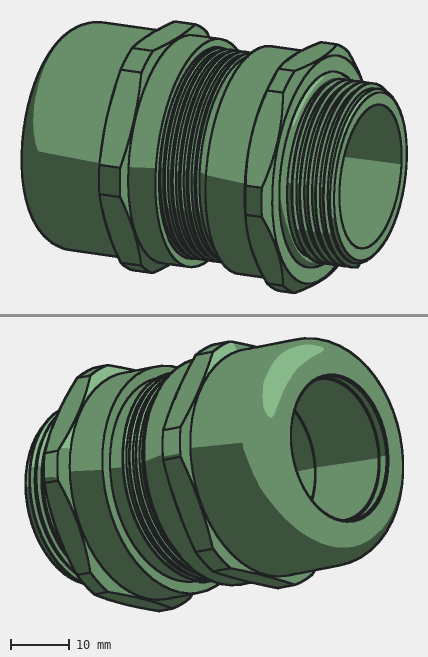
import cadquery as cq
import math

OVERALL_LENGTH = 59.0

CAP_DIAMETER = 39.7
CAP_LENGTH = 27.4
DOME_RADIUS = 4.95
MOUTH_DIAMETER = 25.2
MOUTH_CHAMFER = 0.25
LIP_THICKNESS = 1.75
CAP_BORE_CLEARANCE = 0.25

HEX_SIDES = 6
ACROSS_FLATS = 40.1
ACROSS_CORNERS = 43.6
HEX_WIDTH = 5.3
CAP_HEX_START = 16.9
CAP_HEX_CHAMFER_ANGLE = 19.0
BODY_HEX_CHAMFER_ANGLE = 30.0

SEAL_BORE = 24.65
SEAL_DIAMETER = 31.5
SEAL_END = 16.3

BODY_BORE = 25.0
NECK_DIAMETER = 35.7
FLANGE_START = 36.95
FLANGE_DIAMETER = CAP_DIAMETER
BODY_HEX_START = 44.35
BODY_HEX_END = BODY_HEX_START + HEX_WIDTH
SPIGOT_DIAMETER = 30.3
SPIGOT_CHAMFER = 0.55

FIVE_TURN_ADVANCE = 7.5
PITCH = FIVE_TURN_ADVANCE / 5
RIDGE_BASE_WIDTH = 0.9
RIDGE_CREST_WIDTH = 0.1
RIDGE_SINK = 0.2
NECK_THREAD_DIAMETER = 36.6
NECK_THREAD_START = 26.15
NECK_THREAD_TURNS = 5.72
SPIGOT_THREAD_DIAMETER = 32.0
SPIGOT_THREAD_START = 50.85
SPIGOT_THREAD_TURNS = 4.72

RING_SECTION_DIAMETER = 1.9
RING_CENTRE_RADIUS = (SPIGOT_DIAMETER + RING_SECTION_DIAMETER) / 2


def cylinder(diameter, start, end):
    """Solid cylinder on the X axis between two positions."""
    return cq.Workplane("YZ", origin=(start, 0, 0)).circle(diameter / 2).extrude(end - start)


def hexagon(start, chamfer_angle, inner_diameter):
    """Hexagon with flats facing up and down, its corners turned round and coned on both sides."""
    end = start + HEX_WIDTH
    inner_radius = inner_diameter / 2
    corner_radius = ACROSS_CORNERS / 2
    cone_depth = (corner_radius - inner_radius) * math.tan(math.radians(chamfer_angle))
    prism = (
        cq.Workplane("YZ", origin=(start, 0, 0))
        .polygon(HEX_SIDES, ACROSS_FLATS, circumscribed=True)
        .extrude(HEX_WIDTH)
        .rotate((0, 0, 0), (1, 0, 0), 180 / HEX_SIDES)
    )
    turned_disc = (
        cq.Workplane("XY")
        .moveTo(start, 0)
        .lineTo(start, inner_radius)
        .lineTo(start + cone_depth, corner_radius)
        .lineTo(end - cone_depth, corner_radius)
        .lineTo(end, inner_radius)
        .lineTo(end, 0)
        .close()
        .revolve(360, (0, 0, 0), (1, 0, 0))
        .rotate((0, 0, 0), (1, 0, 0), 90)
    )
    return prism.intersect(turned_disc)


def thread_ridge(root_diameter, crest_diameter, start, turns):
    """Helical ridge that starts on the +Y side and advances along +X."""
    root_radius = root_diameter / 2
    sunk_radius = root_radius - RIDGE_SINK
    crest_radius = crest_diameter / 2
    half_crest = RIDGE_CREST_WIDTH / 2
    flank_slope = (RIDGE_BASE_WIDTH - RIDGE_CREST_WIDTH) / 2 / (crest_radius - root_radius)
    half_sunk = RIDGE_BASE_WIDTH / 2 + RIDGE_SINK * flank_slope
    helix = cq.Wire.makeHelix(PITCH, PITCH * turns, root_radius)
    ridge = (
        cq.Workplane("XZ")
        .moveTo(sunk_radius, -half_sunk)
        .lineTo(crest_radius, -half_crest)
        .lineTo(crest_radius, half_crest)
        .lineTo(sunk_radius, half_sunk)
        .close()
        .sweep(cq.Workplane(helix), isFrenet=True)
    )
    return (
        ridge.rotate((0, 0, 0), (0, 1, 0), 90)
        .rotate((0, 0, 0), (1, 0, 0), 90)
        .translate((start, 0, 0))
    )


def sealing_ring():
    """Ring of round section that fits around the root of the spigot."""
    return (
        cq.Workplane("XY")
        .center(BODY_HEX_END, RING_CENTRE_RADIUS)
        .circle(RING_SECTION_DIAMETER / 2)
        .revolve(360, (0, -RING_CENTRE_RADIUS, 0), (1, -RING_CENTRE_RADIUS, 0))
    )


def seal():
    """Plain sleeve held between the lip of the cap nut and the front of the body."""
    return cylinder(SEAL_DIAMETER, LIP_THICKNESS, SEAL_END).cut(
        cylinder(SEAL_BORE, LIP_THICKNESS, SEAL_END)
    )


def cap_nut():
    """Domed nut with a hexagon, a chamfered mouth and a stepped bore."""
    shell = cylinder(CAP_DIAMETER, 0, CAP_LENGTH).faces("<X").edges().fillet(DOME_RADIUS)
    shell = shell.union(hexagon(CAP_HEX_START, CAP_HEX_CHAMFER_ANGLE, CAP_DIAMETER))
    thread_bore = NECK_THREAD_DIAMETER + CAP_BORE_CLEARANCE
    return (
        shell.cut(cylinder(MOUTH_DIAMETER, 0, LIP_THICKNESS))
        .cut(cylinder(SEAL_DIAMETER, LIP_THICKNESS, SEAL_END))
        .cut(cylinder(thread_bore, SEAL_END, CAP_LENGTH))
        .faces("<X")
        .edges(cq.selectors.RadiusNthSelector(0))
        .chamfer(MOUTH_CHAMFER)
    )


def gland_body():
    """Body with a threaded neck, a flange, a hexagon and a threaded spigot."""
    spigot = (
        cylinder(SPIGOT_DIAMETER, BODY_HEX_END, OVERALL_LENGTH)
        .faces(">X")
        .edges()
        .chamfer(SPIGOT_CHAMFER)
    )
    neck_thread = thread_ridge(
        NECK_DIAMETER, NECK_THREAD_DIAMETER, NECK_THREAD_START, NECK_THREAD_TURNS
    )
    spigot_thread = thread_ridge(
        SPIGOT_DIAMETER, SPIGOT_THREAD_DIAMETER, SPIGOT_THREAD_START, SPIGOT_THREAD_TURNS
    )
    return (
        cylinder(NECK_DIAMETER, SEAL_END, FLANGE_START)
        .union(cylinder(FLANGE_DIAMETER, FLANGE_START, BODY_HEX_START))
        .union(hexagon(BODY_HEX_START, BODY_HEX_CHAMFER_ANGLE, FLANGE_DIAMETER))
        .cut(sealing_ring())
        .union(spigot)
        .cut(cylinder(BODY_BORE, SEAL_END, OVERALL_LENGTH))
        .union(neck_thread)
        .union(spigot_thread)
    )


result = cq.Compound.makeCompound(
    [cap_nut().val(), seal().val(), gland_body().val(), sealing_ring().val()]
)